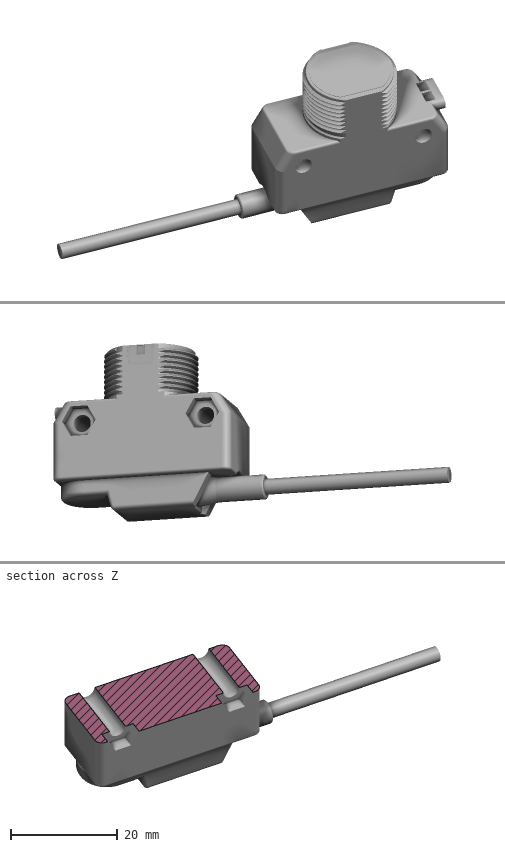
import cadquery as cq
import math


body_width = 15.0
body_length = 34.72
seam_height = 5.9
shoulder_height = 21.0
end_bevel_run = 2.3
end_bevel_drop = 3.9
corner_radius = 1.5
edge_radius = 0.5

lens_step = 0.1
overall_height = 31.1
barrel_top = overall_height - lens_step
barrel_radius = 8.9
neck_radius = 8.85
thread_start = 21.6
thread_pitch = 1.0
thread_depth = 0.6
root_radius = barrel_radius - thread_depth
crest_land = 0.1
root_land = 0.12
ridge_overlap = 0.1
barrel_chamfer = 0.7
lens_radius = 7.7
lens_half_width = 6.4

window_top_half_width = 2.7
window_bottom_half_width = 2.35
window_height = 3.9
window_corner_radius = 0.7
window_depth = 0.1
window_eye_size = 1.7
window_eye_drop = 0.2
window_eye_depth = 0.4

mount_hole_diameter = 3.3
mount_hole_offset = 12.05
mount_hole_height = 17.05
nut_across_flats = 5.7
nut_depth = 2.4

guide_length = 7.66
guide_height = 2.45
guide_end = 17.82
guide_root = 14.0
guide_notch_width = 2.5
guide_notch_spacing = 2.97
guide_notch_back = 16.2
guide_notch_front = 14.3
guide_notch_depth = 1.8

cover_half_width = 5.72
cover_end_radius = 5.5
cover_step_height = 3.1
cover_step_top = 7.2
cover_step_bottom = 6.3
cover_nose_bottom = -9.6
cover_nose_top = -12.75
cover_edge_radius = 0.7
nose_slot_inner_half_width = 2.75
nose_slot_outer_half_width = 3.4
nose_slot_back = -9.1
nose_slot_edge_radius = 0.5

cable_height = 3.74
cable_radius = 1.5
cable_end = -58.19
relief_radius = 2.35
relief_root_radius = 3.0
relief_cone_end = -13.15
relief_end = -22.4
relief_chamfer = 0.2
relief_mouth_radius = 0.5

half_width = body_width / 2
half_length = body_length / 2


def make_block():
    bevel_foot = shoulder_height - end_bevel_drop
    bevel_head = half_length - end_bevel_run
    block = (
        cq.Workplane("YZ", origin=(-half_width, 0, 0))
        .moveTo(-half_length, seam_height)
        .lineTo(half_length, seam_height)
        .lineTo(half_length, bevel_foot)
        .lineTo(bevel_head, shoulder_height)
        .lineTo(-bevel_head, shoulder_height)
        .lineTo(-half_length, bevel_foot)
        .close()
        .extrude(body_width)
    )
    block = block.edges("(not #Z) and (not |X)").fillet(corner_radius)
    block = block.faces(">Z").edges().fillet(edge_radius)
    return block.faces("<Z").edges().fillet(edge_radius)


def make_thread_ridge():
    base_radius = root_radius - ridge_overlap
    half_base = (thread_pitch - root_land) / 2
    half_crest = crest_land / 2
    helix = cq.Wire.makeHelix(thread_pitch, barrel_top - thread_start - thread_pitch, root_radius)
    ridge = (
        cq.Workplane("XZ")
        .polyline([
            (base_radius, -half_base),
            (base_radius, half_base),
            (barrel_radius, half_crest),
            (barrel_radius, -half_crest),
        ])
        .close()
        .sweep(cq.Workplane(helix), isFrenet=True)
    )
    return ridge.translate((0, 0, thread_start + thread_pitch / 2))


def make_barrel():
    core = cq.Workplane("XY").workplane(offset=thread_start).circle(root_radius)
    core = core.extrude(barrel_top - thread_start)
    neck_bottom = seam_height + edge_radius
    neck = cq.Workplane("XY").workplane(offset=neck_bottom).circle(neck_radius)
    neck = neck.extrude(thread_start - neck_bottom)
    envelope = cq.Workplane("XY").circle(barrel_radius + barrel_chamfer)
    envelope = envelope.extrude(barrel_top).faces(">Z").chamfer(2 * barrel_chamfer)
    flats = cq.Workplane("XY").box(body_width, 4 * barrel_radius, 4 * overall_height)
    return core.union(make_thread_ridge()).union(neck).intersect(envelope).intersect(flats)


def make_lens():
    lens = cq.Workplane("XY").workplane(offset=barrel_top - lens_step).circle(lens_radius)
    lens = lens.extrude(2 * lens_step)
    flats = cq.Workplane("XY").box(2 * lens_half_width, 4 * lens_radius, 4 * overall_height)
    return lens.intersect(flats)


def make_window_recess():
    window_bottom = barrel_top - window_height
    panel = (
        cq.Workplane("YZ", origin=(-half_width, 0, 0))
        .polyline([
            (-window_top_half_width, barrel_top),
            (-window_bottom_half_width, window_bottom),
            (window_bottom_half_width, window_bottom),
            (window_top_half_width, barrel_top),
        ])
        .close()
        .extrude(window_depth)
    )
    panel = panel.edges("|X").edges("<Z").fillet(window_corner_radius)
    eye_height = barrel_top - window_eye_drop - window_eye_size / 2
    eye = cq.Workplane("YZ", origin=(-half_width, 0, eye_height)).rect(window_eye_size, window_eye_size)
    return panel.union(eye.extrude(window_eye_depth))


def make_mount_holes():
    corner_diameter = nut_across_flats / math.cos(math.pi / 6)
    centres = [(-mount_hole_offset, 0), (mount_hole_offset, 0)]
    side = cq.Workplane("YZ", origin=(-half_width, 0, mount_hole_height)).pushPoints(centres)
    holes = side.circle(mount_hole_diameter / 2).extrude(body_width)
    nuts = side.polygon(6, corner_diameter).extrude(nut_depth)
    return holes.union(nuts)


def make_light_guide():
    centre_height = shoulder_height - guide_height / 2
    guide = cq.Workplane("XZ", origin=(0, guide_end, centre_height))
    return guide.slot2D(guide_length, guide_height).extrude(guide_end - guide_root)


def make_guide_notches():
    notches = cq.Workplane("XY")
    for side in (-1, 1):
        centre = side * guide_notch_spacing / 2
        notch = (
            cq.Workplane("YZ", origin=(centre - guide_notch_width / 2, 0, 0))
            .moveTo(guide_notch_back, shoulder_height)
            .lineTo(guide_notch_front, shoulder_height)
            .lineTo(guide_notch_front, shoulder_height - guide_notch_depth)
            .close()
            .extrude(guide_notch_width)
        )
        notches = notches.add(notch)
    return notches.combine()


def make_relief_opening():
    """Round opening in the lower -Y edge of the housing, with a rounded mouth."""
    mouth = -half_length
    mouth_radius = relief_root_radius + relief_mouth_radius
    middle = relief_mouth_radius * (1 - math.sqrt(0.5))
    return (
        cq.Workplane("XY")
        .moveTo(0, mouth)
        .lineTo(mouth_radius, mouth)
        .threePointArc(
            (relief_root_radius + middle, mouth + middle),
            (relief_root_radius, mouth + relief_mouth_radius),
        )
        .lineTo(relief_root_radius, nose_slot_back)
        .lineTo(0, nose_slot_back)
        .close()
        .revolve(360, (0, 0, 0), (0, 1, 0))
        .translate((0, 0, cable_height))
    )


def make_housing():
    housing = make_block().union(make_barrel()).union(make_lens()).union(make_light_guide())
    housing = housing.cut(make_window_recess()).cut(make_mount_holes())
    return housing.cut(make_guide_notches()).cut(make_relief_opening())


def make_cover_shell():
    shell = (
        cq.Workplane("YZ", origin=(-cover_half_width, 0, 0))
        .moveTo(half_length, seam_height)
        .lineTo(half_length, cover_step_height)
        .lineTo(cover_step_top, cover_step_height)
        .lineTo(cover_step_bottom, 0)
        .lineTo(cover_nose_bottom, 0)
        .lineTo(cover_nose_top, seam_height)
        .close()
        .extrude(2 * cover_half_width)
    )
    shell = shell.edges("|Z and >Y").fillet(cover_end_radius)
    margin = 0.1
    below_seam = cq.selectors.BoxSelector(
        (-body_width, cover_nose_bottom + margin, -margin),
        (body_width, body_length, cover_step_height + margin),
    )
    inner_corner = cq.selectors.NearestToPointSelector((0, cover_step_top, cover_step_height))
    return shell.edges(below_seam - inner_corner).fillet(cover_edge_radius)


def make_nose_slot():
    """Slot in the sloping nose, flaring from its upright back wall to its mouth."""
    inner = nose_slot_inner_half_width
    outer = nose_slot_outer_half_width
    back_wall = cq.Wire.makePolygon([
        cq.Vector(-inner, nose_slot_back, 0),
        cq.Vector(inner, nose_slot_back, 0),
        cq.Vector(inner, nose_slot_back, seam_height),
        cq.Vector(-inner, nose_slot_back, seam_height),
    ], close=True)
    mouth = cq.Wire.makePolygon([
        cq.Vector(-outer, cover_nose_bottom, 0),
        cq.Vector(outer, cover_nose_bottom, 0),
        cq.Vector(outer, cover_nose_top, seam_height),
        cq.Vector(-outer, cover_nose_top, seam_height),
    ], close=True)
    return cq.Workplane(cq.Solid.makeLoft([back_wall, mouth], True))


def make_nose_slot_rounding():
    """Sliver that rounds the lower edge of the slot's back wall."""
    radius = nose_slot_edge_radius
    middle = radius * (1 - math.sqrt(0.5))
    return (
        cq.Workplane("YZ", origin=(-nose_slot_inner_half_width, 0, 0))
        .moveTo(nose_slot_back, 0)
        .lineTo(nose_slot_back + radius, 0)
        .threePointArc((nose_slot_back + middle, middle), (nose_slot_back, radius))
        .close()
        .extrude(2 * nose_slot_inner_half_width)
    )


def make_strain_relief():
    profile = (
        cq.Workplane("XY")
        .moveTo(0, nose_slot_back)
        .lineTo(relief_root_radius, nose_slot_back)
        .lineTo(relief_radius, relief_cone_end)
        .lineTo(relief_radius, relief_end + relief_chamfer)
        .lineTo(relief_radius - relief_chamfer, relief_end)
        .lineTo(cable_radius, relief_end)
        .lineTo(cable_radius, cable_end)
        .lineTo(0, cable_end)
        .close()
    )
    return profile.revolve(360, (0, 0, 0), (0, 1, 0)).translate((0, 0, cable_height))


def make_cover_with_cable():
    cover = make_cover_shell().cut(make_nose_slot()).cut(make_nose_slot_rounding())
    return cover.union(make_strain_relief())


housing = make_housing()
cover = make_cover_with_cable()
result = cq.Compound.makeCompound([*housing.solids().vals(), *cover.solids().vals()])